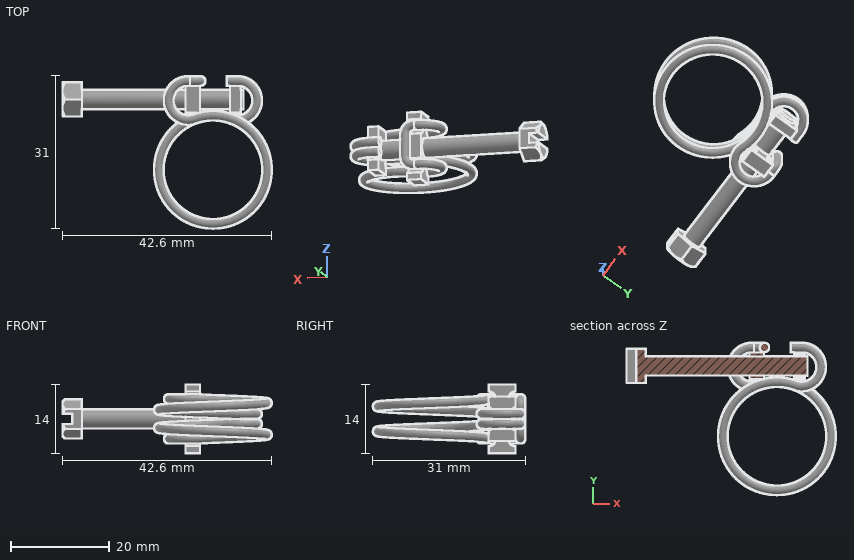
import cadquery as cq
import math


SHANK_RADIUS = 2.0
SHANK_TIP_X = 6.25
HEAD_FLATS = 7.0
HEAD_HEIGHT = 4.0
HEAD_CORNERS = HEAD_FLATS / math.cos(math.pi / 6)
CONE_ANGLE = 45
SLOT_WIDTH = 2.0
SLOT_DEPTH = 2.0

WIRE_DIAMETER = 2.0
WIRE_RADIUS = WIRE_DIAMETER / 2
RING_RADIUS = 11.0
HOOK_RADIUS = 3.95
HOOK_CENTRE_X = 5.02
HOOK_CENTRE_Y = -0.2
LOOP_HOOK_Z = 4.05
FREE_HOOK_Z = 1.02
FREE_END_X = 2.8
LOOP_JOINT_X = -4.65
RING_STEPS = 24

RING_CENTRE_Y = HOOK_CENTRE_Y - math.sqrt((RING_RADIUS + HOOK_RADIUS) ** 2 - HOOK_CENTRE_X ** 2)
HOOK_LEAN = math.asin(HOOK_CENTRE_X / (RING_RADIUS + HOOK_RADIUS))
HOOK_TOP_Y = HOOK_CENTRE_Y + HOOK_RADIUS

LOOP_BAR_X = -2.5
LOOP_BEND_RADIUS = 1.6

SADDLE_WIDTH = 5.5
SEAT_RADIUS = 1.5
HEAD_SADDLE_HEIGHT = 14.0
HEAD_SADDLE_LENGTH = 3.02
HEAD_SADDLE_X = -4.1
RELIEF_DEPTH = 0.4
RELIEF_HEIGHT = 4.6
TIP_SADDLE_HEIGHT = 9.03
TIP_SADDLE_LENGTH = 2.2
TIP_SADDLE_X = 4.55

OVERALL_LENGTH = 42.6
HEAD_END_X = RING_RADIUS + WIRE_RADIUS - OVERALL_LENGTH
HEAD_INNER_X = HEAD_END_X + HEAD_HEIGHT


def make_screw():
    """Slotted hexagon screw whose outer head corners are chamfered by a cone."""
    head = (
        cq.Workplane("YZ", origin=(HEAD_END_X, 0, 0))
        .transformed(rotate=(0, 0, 90))
        .polygon(6, HEAD_CORNERS)
        .extrude(HEAD_HEIGHT)
    )
    chamfer_cone = (
        cq.Workplane("YZ", origin=(HEAD_END_X, 0, 0))
        .circle(HEAD_FLATS / 2)
        .extrude(HEAD_HEIGHT, taper=-CONE_ANGLE)
    )
    slot = cq.Workplane("XY", origin=(HEAD_END_X, 0, 0)).box(2 * SLOT_DEPTH, 2 * HEAD_FLATS, SLOT_WIDTH)
    shank = (
        cq.Workplane("YZ", origin=(HEAD_INNER_X, 0, 0))
        .circle(SHANK_RADIUS)
        .extrude(SHANK_TIP_X - HEAD_INNER_X)
    )
    return head.intersect(chamfer_cone).cut(slot).union(shank)


def hook_edge(side, z, from_top):
    """Arc of a hook from its top to the point where it touches the ring, or back again."""
    centre = cq.Vector(side * HOOK_CENTRE_X, HOOK_CENTRE_Y, z)
    full_turn = math.pi + HOOK_LEAN

    def point(turn):
        return centre + cq.Vector(side * math.sin(turn), math.cos(turn), 0) * HOOK_RADIUS

    turns = [0, full_turn / 2, full_turn]
    if not from_top:
        turns.reverse()
    return cq.Edge.makeThreePointArc(*[point(turn) for turn in turns])


def ring_edge():
    """One rising turn, from the free hook round to the loop hook, level at both ends."""
    start = math.pi / 2 - HOOK_LEAN
    turn = 2 * math.pi + 2 * HOOK_LEAN
    rise = LOOP_HOOK_Z - FREE_HOOK_Z
    angles = [start + turn * step / RING_STEPS for step in range(RING_STEPS + 1)]
    points = [
        cq.Vector(
            RING_RADIUS * math.cos(angle),
            RING_CENTRE_Y + RING_RADIUS * math.sin(angle),
            FREE_HOOK_Z + rise * (angle - start) / turn,
        )
        for angle in angles
    ]
    level_tangents = [
        cq.Vector(-math.sin(angle), math.cos(angle), 0) * RING_RADIUS
        for angle in (angles[0], angles[-1])
    ]
    return cq.Edge.makeSpline(points, tangents=level_tangents, parameters=angles, scale=False)


def make_upper_wire():
    """Free end, free hook, ring and loop hook as one round wire."""
    free_end = cq.Vector(FREE_END_X, HOOK_TOP_Y, FREE_HOOK_Z)
    free_hook_top = cq.Vector(HOOK_CENTRE_X, HOOK_TOP_Y, FREE_HOOK_Z)
    loop_hook_top = cq.Vector(-HOOK_CENTRE_X, HOOK_TOP_Y, LOOP_HOOK_Z)
    loop_joint = cq.Vector(LOOP_JOINT_X, HOOK_TOP_Y, LOOP_HOOK_Z)
    path = cq.Wire.assembleEdges([
        cq.Edge.makeLine(free_end, free_hook_top),
        hook_edge(1, FREE_HOOK_Z, from_top=True),
        ring_edge(),
        hook_edge(-1, LOOP_HOOK_Z, from_top=False),
        cq.Edge.makeLine(loop_hook_top, loop_joint),
    ])
    return cq.Workplane("YZ", origin=free_end.toTuple()).circle(WIRE_RADIUS).sweep(cq.Workplane(path))


def make_cross_loop():
    """U-shaped wire that joins the loop hooks of the upper and lower wires."""
    bend_x = LOOP_BAR_X - LOOP_BEND_RADIUS
    bend_z = LOOP_HOOK_Z - LOOP_BEND_RADIUS
    path = (
        cq.Workplane("XZ", origin=(0, HOOK_TOP_Y, 0))
        .moveTo(LOOP_JOINT_X, LOOP_HOOK_Z)
        .lineTo(bend_x, LOOP_HOOK_Z)
        .tangentArcPoint((LOOP_BAR_X, bend_z), relative=False)
        .lineTo(LOOP_BAR_X, -bend_z)
        .tangentArcPoint((bend_x, -LOOP_HOOK_Z), relative=False)
        .lineTo(LOOP_JOINT_X, -LOOP_HOOK_Z)
    )
    start = (LOOP_JOINT_X, HOOK_TOP_Y, LOOP_HOOK_Z)
    return cq.Workplane("YZ", origin=start).circle(WIRE_RADIUS).sweep(path)


def saddle_block(centre_x, length, height):
    """Plain block with a bore that fits the screw shank."""
    block = cq.Workplane("XY", origin=(centre_x, 0, 0)).box(length, SADDLE_WIDTH, height)
    bore = cq.Workplane("YZ", origin=(centre_x, 0, 0)).circle(SHANK_RADIUS).extrude(length, both=True)
    return block.cut(bore)


def make_head_saddle():
    """Tall saddle with four half-round wire seats at its sides."""
    seats = (
        cq.Workplane("YZ", origin=(HEAD_SADDLE_X, 0, 0))
        .rect(SADDLE_WIDTH, 2 * LOOP_HOOK_Z, forConstruction=True)
        .vertices()
        .circle(SEAT_RADIUS)
        .extrude(HEAD_SADDLE_LENGTH, both=True)
    )
    return saddle_block(HEAD_SADDLE_X, HEAD_SADDLE_LENGTH, HEAD_SADDLE_HEIGHT).cut(seats)


def make_tip_saddle():
    """Short saddle with one shallow relief on each side for the pair of free hooks."""
    reliefs = (
        cq.Workplane("XY", origin=(TIP_SADDLE_X, 0, 0))
        .pushPoints([(0, SADDLE_WIDTH / 2), (0, -SADDLE_WIDTH / 2)])
        .box(TIP_SADDLE_LENGTH, 2 * RELIEF_DEPTH, RELIEF_HEIGHT)
    )
    return saddle_block(TIP_SADDLE_X, TIP_SADDLE_LENGTH, TIP_SADDLE_HEIGHT).cut(reliefs)


screw = make_screw()
upper_wire = make_upper_wire()
lower_wire = upper_wire.mirror("XY")
cross_loop = make_cross_loop()
tip_saddle = make_tip_saddle()
head_saddle = make_head_saddle().cut(upper_wire).cut(lower_wire)

result = cq.Compound.makeCompound([
    screw.val(),
    upper_wire.val(),
    lower_wire.val(),
    cross_loop.val(),
    head_saddle.val(),
    tip_saddle.val(),
])